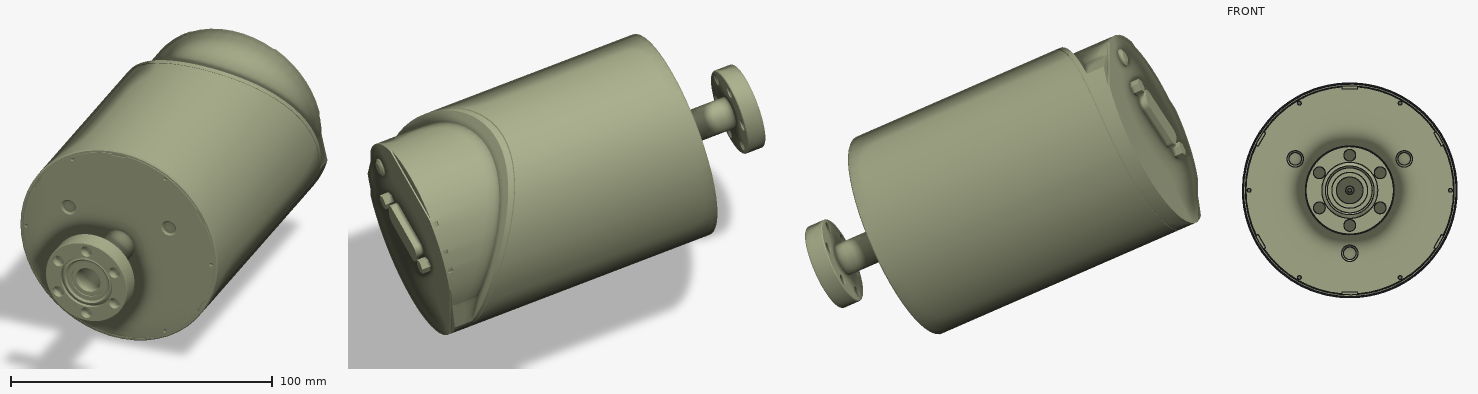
import cadquery as cq
import math


OVERALL_LENGTH = 145.8
CLEARANCE = 1.5

BARREL_R = 82.0 / 2
BARREL_LENGTH = 110.2
BARREL_EDGE_CHAMFER = 0.5
CORE_R = 37.0
STEP_X = 39.5
STEP_Z = -math.sqrt(BARREL_R**2 - STEP_X**2)

SWEEP_CENTER_Y = -12.7
SWEEP_CENTER_Z = -BARREL_R
SHELL_SWEEP_R = 119.4
SEAM_SWEEP_R = 117.6
SEAM_WIDTH = 0.5
SEAM_DEPTH = 0.3

FACE_GROOVE_R = 40.0
FACE_GROOVE_WIDTH = 0.3
FACE_GROOVE_DEPTH = 0.3
HUB_RECESS_D = 21.0
HUB_RECESS_DEPTH = 0.1
MOUNT_COUNT = 3
MOUNT_CIRCLE_R = 24.0
MOUNT_RIM_D = 6.3
MOUNT_FLOOR_D = 4.8
MOUNT_DEPTH = 0.7
PIN_HOLE_COUNT = 6
PIN_HOLE_CIRCLE_R = 38.5
PIN_HOLE_D = 1.5
PIN_HOLE_DEPTH = 1.5
NOTCH_COUNT = 6
NOTCH_WIDTH = 5.8
NOTCH_INNER_R = 38.8
NOTCH_DEPTH = 0.3

TUBE_D = 12.7
TUBE_ROOT_Y = 1.5
BORE_D = 10.2
FLANGE_D = 34.0
FLANGE_FRONT_Y = -31.3
FLANGE_THICKNESS = 7.5
FLANGE_EDGE_CHAMFER = 0.3
SEAL_RECESS_D = 21.4
SEAL_RECESS_DEPTH = 1.5
KNIFE_EDGE_D = 18.7
KNIFE_EDGE_DEPTH = 0.7
KNIFE_INNER_D = 17.2
WELD_RECESS_D = 13.7
WELD_RECESS_DEPTH = 1.9
BOLT_COUNT = 6
BOLT_CIRCLE_R = 13.4
BOLT_HOLE_D = 4.5
PIN_D = 3.2
PIN_TIP_D = 1.5
PIN_LENGTH = 4.4
PIN_TAPER = 0.9

WINDOW_ANGLES = (28, 40, 58)
WINDOW_SIZE = 1.9
WINDOW_REAR_GAP = 0.3
WINDOW_DEPTH = 0.7

COVER_HALF_WIDTH = 35.9
COVER_TOP_Z = 32.5
COVER_THICKNESS = 0.6
COVER_Y = BARREL_LENGTH + COVER_THICKNESS
CONNECTOR_Z = 2.2
CONNECTOR_WIDTH = 26.2
CONNECTOR_HEIGHT = 9.5
CONNECTOR_SIDE_ANGLE = 10
CONNECTOR_CORNER_R = 2.9
CONNECTOR_LENGTH = 3.2
HEX_OFFSET_X = 16.6
HEX_ACROSS_FLATS = 5.0
REAR_END_Y = OVERALL_LENGTH + FLANGE_FRONT_Y
SCREW_X = 25.7
SCREW_Z = 11.7
SCREW_D = 7.0
SCREW_TOP_D = 4.4
SCREW_RIM_HEIGHT = 0.7
SCREW_HEIGHT = 1.5


def section(y):
    """XZ sketch plane at the given y; extruding a positive distance goes toward +Y."""
    return cq.Workplane(cq.Plane(origin=(0, y, 0), xDir=(-1, 0, 0), normal=(0, 1, 0)))


def rod(diameter, y_start, y_end, x=0, z=0):
    return section(y_start).center(-x, z).circle(diameter / 2).extrude(y_end - y_start)


def cone(start_d, end_d, y_start, y_end, x=0, z=0):
    solid = cq.Solid.makeCone(
        start_d / 2, end_d / 2, y_end - y_start, cq.Vector(x, y_start, z), cq.Vector(0, 1, 0)
    )
    return cq.Workplane(solid)


def around_axis(shape, count):
    """Copies of a shape, spread evenly about the barrel axis."""
    copies = cq.Workplane()
    for i in range(count):
        copies = copies.add(shape.rotate((0, 0, 0), (0, 1, 0), i * 360 / count))
    return copies.combine()


def sweep_cylinder(radius):
    """Cylinder along X whose rear surface gives the curved end of the shell."""
    return (
        cq.Workplane("YZ")
        .center(SWEEP_CENTER_Y, SWEEP_CENTER_Z)
        .circle(radius)
        .extrude(BARREL_R + 2 * CLEARANCE, both=True)
    )


def step_space():
    """Space above the smaller rear core and its two flared sides, behind the thick shell."""
    clear = BARREL_R + CLEARANCE
    flare = (clear - CORE_R) / (STEP_X - CORE_R)
    return (
        section(0)
        .moveTo(CORE_R, 0)
        .threePointArc((0, CORE_R), (-CORE_R, 0))
        .lineTo(-clear, flare * STEP_Z)
        .lineTo(-clear, clear)
        .lineTo(clear, clear)
        .lineTo(clear, flare * STEP_Z)
        .close()
        .extrude(COVER_Y)
        .cut(sweep_cylinder(SHELL_SWEEP_R))
    )


def seam_groove():
    """Thin groove around the barrel that follows the curved end of the shell."""
    band = sweep_cylinder(SEAM_SWEEP_R).cut(sweep_cylinder(SEAM_SWEEP_R - SEAM_WIDTH))
    return band.cut(rod(2 * (BARREL_R - SEAM_DEPTH), 0, BARREL_LENGTH))


def make_barrel():
    barrel = rod(2 * BARREL_R, 0, BARREL_LENGTH).faces("<Y").chamfer(BARREL_EDGE_CHAMFER)
    return barrel.cut(seam_groove()).cut(step_space())


def front_face_cuts():
    groove = rod(2 * FACE_GROOVE_R, 0, FACE_GROOVE_DEPTH)
    groove = groove.cut(rod(2 * (FACE_GROOVE_R - FACE_GROOVE_WIDTH), 0, FACE_GROOVE_DEPTH))
    hub_recess = rod(HUB_RECESS_D, 0, HUB_RECESS_DEPTH)
    mount = cone(MOUNT_RIM_D, MOUNT_FLOOR_D, 0, MOUNT_DEPTH, z=-MOUNT_CIRCLE_R)
    pin_hole = rod(PIN_HOLE_D, 0, PIN_HOLE_DEPTH, x=PIN_HOLE_CIRCLE_R)
    notch_height = FACE_GROOVE_R - NOTCH_INNER_R
    notch = cq.Workplane().box(NOTCH_WIDTH, NOTCH_DEPTH, notch_height, centered=(True, False, False))
    notch = notch.translate((0, 0, NOTCH_INNER_R)).intersect(rod(2 * FACE_GROOVE_R, 0, NOTCH_DEPTH))
    return (
        groove.union(hub_recess)
        .union(around_axis(mount, MOUNT_COUNT))
        .union(around_axis(pin_hole, PIN_HOLE_COUNT))
        .union(around_axis(notch, NOTCH_COUNT))
    )


def window_cuts():
    """Shallow square pockets in the core, set behind a narrow rear lip."""
    windows = cq.Workplane()
    window = cq.Workplane().box(2 * WINDOW_DEPTH, WINDOW_SIZE, WINDOW_SIZE)
    window = window.translate((-CORE_R, BARREL_LENGTH - WINDOW_REAR_GAP - WINDOW_SIZE / 2, 0))
    for angle in WINDOW_ANGLES:
        windows = windows.add(window.rotate((0, 0, 0), (0, 1, 0), angle))
    return windows.combine()


def make_flange():
    """Flange and tube, revolved from a half profile of (radius, y) points."""
    front = FLANGE_FRONT_Y
    back = front + FLANGE_THICKNESS
    profile = [
        (0, HUB_RECESS_DEPTH),
        (BORE_D / 2, HUB_RECESS_DEPTH),
        (BORE_D / 2, front + WELD_RECESS_DEPTH),
        (WELD_RECESS_D / 2, front + WELD_RECESS_DEPTH),
        (WELD_RECESS_D / 2, front + SEAL_RECESS_DEPTH),
        (KNIFE_INNER_D / 2, front + SEAL_RECESS_DEPTH),
        (KNIFE_EDGE_D / 2, front + KNIFE_EDGE_DEPTH),
        (SEAL_RECESS_D / 2, front + SEAL_RECESS_DEPTH),
        (SEAL_RECESS_D / 2, front),
        (FLANGE_D / 2 - FLANGE_EDGE_CHAMFER, front),
        (FLANGE_D / 2, front + FLANGE_EDGE_CHAMFER),
        (FLANGE_D / 2, back - FLANGE_EDGE_CHAMFER),
        (FLANGE_D / 2 - FLANGE_EDGE_CHAMFER, back),
        (TUBE_D / 2, back),
        (TUBE_D / 2, TUBE_ROOT_Y),
        (0, TUBE_ROOT_Y),
    ]
    flange = cq.Workplane("XY").polyline(profile).close().revolve(360, (0, 0), (0, 1))
    bolt_hole = rod(BOLT_HOLE_D, front, back, z=BOLT_CIRCLE_R)
    pin_tip_y = HUB_RECESS_DEPTH - PIN_LENGTH
    pin = rod(PIN_D, pin_tip_y + PIN_TAPER, HUB_RECESS_DEPTH)
    pin = pin.union(cone(PIN_TIP_D, PIN_D, pin_tip_y, pin_tip_y + PIN_TAPER))
    return flange.cut(around_axis(bolt_hole, BOLT_COUNT)).union(pin)


def make_cover():
    height = BARREL_R + COVER_TOP_Z
    strip = (
        section(BARREL_LENGTH)
        .center(0, COVER_TOP_Z - height / 2)
        .rect(2 * COVER_HALF_WIDTH, height)
        .extrude(COVER_THICKNESS)
    )
    barrel_end = rod(2 * BARREL_R, BARREL_LENGTH, COVER_Y)
    return strip.intersect(barrel_end).cut(step_space())


def make_connector():
    half_width = CONNECTOR_WIDTH / 2
    inset = CONNECTOR_HEIGHT * math.tan(math.radians(CONNECTOR_SIDE_ANGLE))
    top_z = CONNECTOR_Z + CONNECTOR_HEIGHT / 2
    bottom_z = CONNECTOR_Z - CONNECTOR_HEIGHT / 2
    shell = (
        section(COVER_Y)
        .moveTo(-half_width, top_z)
        .lineTo(half_width, top_z)
        .lineTo(half_width - inset, bottom_z)
        .lineTo(inset - half_width, bottom_z)
        .close()
        .extrude(CONNECTOR_LENGTH)
        .edges("|Y")
        .fillet(CONNECTOR_CORNER_R)
    )
    across_corners = HEX_ACROSS_FLATS / math.cos(math.radians(30))
    connector = shell
    for x in (-HEX_OFFSET_X, HEX_OFFSET_X):
        post = (
            section(COVER_Y)
            .center(x, CONNECTOR_Z)
            .transformed(rotate=(0, 0, 30))
            .polygon(6, across_corners)
            .extrude(REAR_END_Y - COVER_Y)
        )
        connector = connector.union(post)
    return connector


def make_screw():
    rim_y = COVER_Y + SCREW_RIM_HEIGHT
    rim = rod(SCREW_D, COVER_Y, rim_y, SCREW_X, SCREW_Z)
    return rim.union(cone(SCREW_D, SCREW_TOP_D, rim_y, COVER_Y + SCREW_HEIGHT, SCREW_X, SCREW_Z))


result = (
    make_barrel()
    .cut(front_face_cuts())
    .cut(window_cuts())
    .union(make_flange())
    .union(make_cover())
    .union(make_connector())
    .union(make_screw())
)